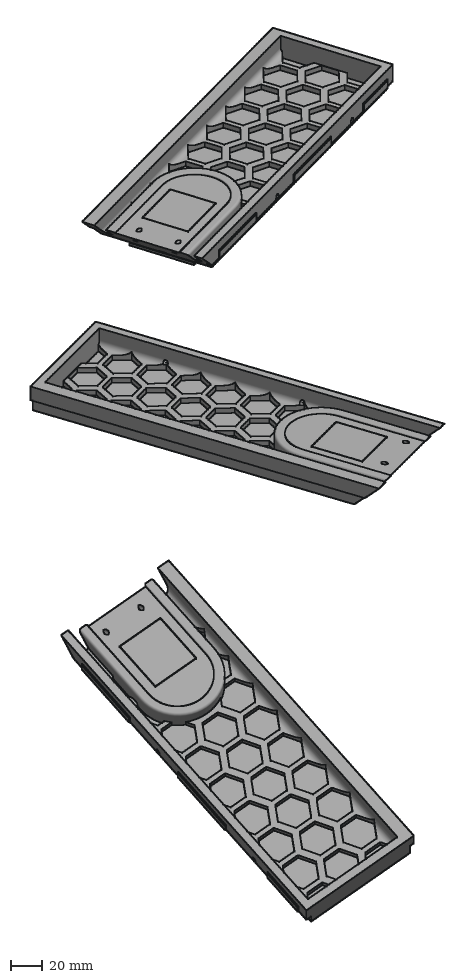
import cadquery as cq


LENGTH = 255.0
TOP_Z = 25.0
TRAY_HEIGHT = 20.0
BOTTOM_Z = TOP_Z - TRAY_HEIGHT
WALL = 5.9

RAIL_WIDTH = 3.0
RAIL_HEIGHT = 10.5
RIGHT_LEDGE_WIDTH = 3.8
RIGHT_LEDGE_HEIGHT = 13.0
BASE_WIDTH = 81.0
BASE_RIGHT_X = RAIL_WIDTH + BASE_WIDTH
LEDGE_X = BASE_RIGHT_X + RIGHT_LEDGE_WIDTH
LEDGE_BOTTOM_Z = TOP_Z - RIGHT_LEDGE_HEIGHT

TROUGH_LEFT_X = RAIL_WIDTH + WALL
TROUGH_RIGHT_X = LEDGE_X - WALL
CENTER_X = (TROUGH_LEFT_X + TROUGH_RIGHT_X) / 2
FLOOR_THICKNESS = 7.0
FLOOR_Z = BOTTOM_Z + FLOOR_THICKNESS
TROUGH_RADIUS = 4.0
TROUGH_BACK_Y = LENGTH - WALL

HEX_ACROSS_CORNERS = 25.0
HEX_DEPTH = 3.8
HEX_PITCH_Y = 25.2
HEX_COLUMN_SPACING = 23.7
HEX_LAST_Y = 250.7
SIDE_HEX_COUNT = 9
MIDDLE_HEX_COUNT = 6

TONGUE_REACH = 0.8
TONGUE_HEIGHT = 6.0
TONGUE_CHAMFER = 0.38
TONGUES = [(22.0, 50.0), (122.0, 50.0), (214.7, 32.5)]
SIDE_HOLE_DIAMETER = 3.3
SIDE_HOLE_Z = 13.8
SIDE_HOLE_FIRST_Y = 100.5
SIDE_HOLE_SPACING = 100.0

BOSS_WIDTH = 60.7
BOSS_TOP_Z = 22.2
BOSS_END_Y = 97.5
BOSS_EDGE_RADIUS = 1.8
RIM_WIDTH = 7.0
RIM_HEIGHT = 1.3
RIM_INNER_RADIUS = 1.0
PANEL_Z = BOSS_TOP_Z - RIM_HEIGHT

FRONT_HOLE_DIAMETER = 3.0
FRONT_HOLE_SPACING = 28.5
FRONT_HOLE_CENTER_X = 48.2
FRONT_HOLE_Y = 14.5

WINDOW_WIDTH = 33.7
WINDOW_LENGTH = 37.5
WINDOW_CENTER_Y = 46.7
INSERT_CLEARANCE = 0.3
INSERT_THICKNESS = 2.0

PLATE_SIZE = 47.5
PLATE_CENTER_Y = 47.0
PLATE_THICKNESS = 2.0
STAR_RADIUS = 22.7
STAR_HEIGHT = 1.5
STAR_HUB_RADIUS = 16.5
STAR_ARM_WIDTH = 5.0
STAR_ARM_COUNT = 12

CUT_MARGIN = 2.5


def box(x0, x1, y0, y1, z0, z1):
    """Axis-aligned block between two limits on each axis."""
    return cq.Workplane("XY").box(x1 - x0, y1 - y0, z1 - z0, centered=False).translate((x0, y0, z0))


def tray_blank():
    """Straight tray bar with the overhanging rail and ledge along its sides."""
    base = box(RAIL_WIDTH, BASE_RIGHT_X, 0, LENGTH, BOTTOM_Z, TOP_Z)
    rail = box(0, RAIL_WIDTH, 0, LENGTH, TOP_Z - RAIL_HEIGHT, TOP_Z)
    ledge = box(BASE_RIGHT_X, LEDGE_X, 0, LENGTH, LEDGE_BOTTOM_Z, TOP_Z)
    return base.union(rail).union(ledge)


def trough():
    """Hollow of the tray, open at the top and front, with rounded lower sides."""
    hollow = box(TROUGH_LEFT_X, TROUGH_RIGHT_X, -CUT_MARGIN, TROUGH_BACK_Y, FLOOR_Z, TOP_Z + CUT_MARGIN)
    return hollow.edges("|Y and <Z").fillet(TROUGH_RADIUS)


def hex_pockets():
    """Staggered columns of hexagons, clipped where they run into the walls."""
    centers = []
    for side in (-1, 1):
        for row in range(SIDE_HEX_COUNT):
            centers.append((CENTER_X + side * HEX_COLUMN_SPACING, HEX_LAST_Y - row * HEX_PITCH_Y))
    for row in range(MIDDLE_HEX_COUNT):
        centers.append((CENTER_X, HEX_LAST_Y - (row + 0.5) * HEX_PITCH_Y))
    pockets = (
        cq.Workplane("XY", origin=(0, 0, FLOOR_Z - HEX_DEPTH))
        .pushPoints(centers)
        .polygon(6, HEX_ACROSS_CORNERS)
        .extrude(HEX_DEPTH + TROUGH_RADIUS)
    )
    reach = box(TROUGH_LEFT_X, TROUGH_RIGHT_X, 0, TROUGH_BACK_Y, BOTTOM_Z, TOP_Z)
    return pockets.intersect(reach)


def arch(width, base_z, top_z):
    """Prism with parallel sides from the front end and a half-round back, concentric with the boss."""
    radius = width / 2
    arc_y = BOSS_END_Y - BOSS_WIDTH / 2
    return (
        cq.Workplane("XY", origin=(CENTER_X, 0, base_z))
        .moveTo(-radius, -CUT_MARGIN)
        .lineTo(radius, -CUT_MARGIN)
        .lineTo(radius, arc_y)
        .threePointArc((0, arc_y + radius), (-radius, arc_y))
        .close()
        .extrude(top_z - base_z)
    )


def boss():
    """Round-ended boss with a raised rim around a sunken panel."""
    body = arch(BOSS_WIDTH, BOTTOM_Z, BOSS_TOP_Z)
    body = body.faces(">Z").edges("not <Y").fillet(BOSS_EDGE_RADIUS)
    body = body.cut(arch(BOSS_WIDTH - 2 * RIM_WIDTH, PANEL_Z, TOP_Z))
    inner_rim = cq.selectors.BoxSelector(
        (CENTER_X - BOSS_WIDTH / 2 + RIM_WIDTH / 2, -CUT_MARGIN / 2, BOSS_TOP_Z - RIM_HEIGHT / 4),
        (CENTER_X + BOSS_WIDTH / 2 - RIM_WIDTH / 2, BOSS_END_Y - RIM_WIDTH / 2, TOP_Z),
    )
    return body.edges(inner_rim).fillet(RIM_INNER_RADIUS)


def front_slope():
    """Wedge removed to leave the 45 degree front end."""
    return (
        cq.Workplane("YZ", origin=(-CUT_MARGIN, 0, 0))
        .polyline([
            (-CUT_MARGIN, TOP_Z + CUT_MARGIN),
            (TOP_Z, 0),
            (-2 * CUT_MARGIN, 0),
            (-2 * CUT_MARGIN, TOP_Z + CUT_MARGIN),
        ])
        .close()
        .extrude(LEDGE_X + 2 * CUT_MARGIN)
    )


def front_holes():
    """Pair of holes square to the front slope, coming out in the boss panel."""
    half = FRONT_HOLE_SPACING / 2
    plane = cq.Plane(
        origin=(FRONT_HOLE_CENTER_X, FRONT_HOLE_Y, PANEL_Z), xDir=(1, 0, 0), normal=(0, -1, -1)
    )
    return (
        cq.Workplane(plane)
        .pushPoints([(-half, 0), (half, 0)])
        .circle(FRONT_HOLE_DIAMETER / 2)
        .extrude(TRAY_HEIGHT / 2, both=True)
    )


def side_holes():
    """Cross holes through the +X wall."""
    first = (SIDE_HOLE_FIRST_Y, SIDE_HOLE_Z)
    second = (SIDE_HOLE_FIRST_Y + SIDE_HOLE_SPACING, SIDE_HOLE_Z)
    return (
        cq.Workplane("YZ", origin=(TROUGH_RIGHT_X - TROUGH_RADIUS, 0, 0))
        .pushPoints([first, second])
        .circle(SIDE_HOLE_DIAMETER / 2)
        .extrude(WALL + TROUGH_RADIUS + CUT_MARGIN)
    )


def tongue(start_y, length):
    """Low locating tongue on the outer face of the ledge."""
    bar = box(
        LEDGE_X, LEDGE_X + TONGUE_REACH, start_y, start_y + length,
        LEDGE_BOTTOM_Z, LEDGE_BOTTOM_Z + TONGUE_HEIGHT,
    )
    return bar.edges(">X and (not <Z)").chamfer(TONGUE_CHAMFER)


def window():
    """Recess in the boss panel that holds the insert."""
    half_width = WINDOW_WIDTH / 2
    half_length = WINDOW_LENGTH / 2
    return box(
        CENTER_X - half_width, CENTER_X + half_width,
        WINDOW_CENTER_Y - half_length, WINDOW_CENTER_Y + half_length,
        PANEL_Z - INSERT_THICKNESS, TOP_Z,
    )


def make_tray():
    """Tray with its trough, boss, holes and tongues as one solid."""
    body = tray_blank().cut(trough()).cut(hex_pockets())
    body = body.union(boss()).cut(front_slope()).cut(window())
    body = body.cut(front_holes()).cut(side_holes())
    for start_y, length in TONGUES:
        body = body.union(tongue(start_y, length))
    return body


def make_insert():
    """Flat insert, flush with the boss panel and clear of the window sides."""
    half_width = WINDOW_WIDTH / 2 - INSERT_CLEARANCE
    half_length = WINDOW_LENGTH / 2 - INSERT_CLEARANCE
    return box(
        CENTER_X - half_width, CENTER_X + half_width,
        WINDOW_CENTER_Y - half_length, WINDOW_CENTER_Y + half_length,
        PANEL_Z - INSERT_THICKNESS, PANEL_Z,
    )


def make_plate():
    """Square plate with a raised star of radial arms on its top face."""
    plate = cq.Workplane("XY").rect(PLATE_SIZE, PLATE_SIZE).extrude(PLATE_THICKNESS)
    star_base = cq.Workplane("XY", origin=(0, 0, PLATE_THICKNESS))
    plate = plate.union(star_base.circle(STAR_HUB_RADIUS).extrude(STAR_HEIGHT))
    bar = star_base.rect(2 * STAR_RADIUS, STAR_ARM_WIDTH).extrude(STAR_HEIGHT)
    for index in range(STAR_ARM_COUNT // 2):
        plate = plate.union(bar.rotate((0, 0, 0), (0, 0, 1), index * 360 / STAR_ARM_COUNT))
    return plate.translate((CENTER_X, PLATE_CENTER_Y, 0))


tray = make_tray()
insert = make_insert()
plate = make_plate()

result = cq.Compound.makeCompound([tray.val(), insert.val(), plate.val()])